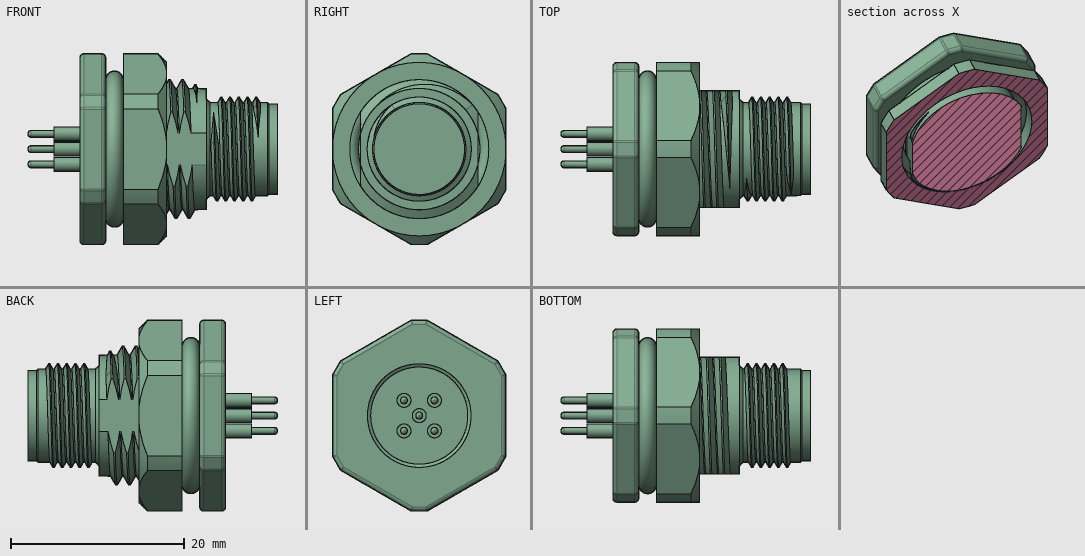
import cadquery as cq
import math


sleeve_start = 3.0
flange_back = 6.0
flange_front = 9.0
nut_back = 11.0
nut_front = 16.0
shoulder = 20.6
nose_step = 27.62
nose_end = 28.8

across_flats = 20.0
across_corners = 22.03
flange_fillet = 0.5
nut_chamfer = 1.0
nut_bore_diameter = 16.05

shank_diameter = 14.0
shank_flats = 13.5
neck_diameter = 10.77
neck_cone_diameter = 11.55
neck_cone_length = 0.43
nose_diameter = 10.45

bore_diameter = 11.2
bore_mouth_diameter = 11.95
bore_mouth_depth = 0.23
insert_back = flange_back + bore_mouth_depth
insert_front = flange_front

sleeve_diameter = 1.6
pin_diameter = 0.8
pin_tip_round = 0.37
pin_offset = 1.75
pin_sides = (-pin_offset, pin_offset)
pin_places = [(0, 0)] + [(y, z) for y in pin_sides for z in pin_sides]

shank_thread_diameter = 16.0
shank_thread_pitch = 1.5
shank_thread_end = 19.5
shank_thread_end_angle = 130
shank_thread_turns = 5.0
shank_thread_fade = 0.25
neck_thread_diameter = 12.0
neck_thread_pitch = 1.0
neck_thread_end = 26.55
neck_thread_end_angle = 165
neck_thread_turns = 5.1
neck_thread_fade = 0.12
flank_slope = math.tan(math.radians(60 / 2))
crest_share = 1 / 8
thread_overlap = 0.05
thread_tip_scale = 0.05
points_per_turn = 24
fewest_steps = 4

seal_cord = nut_back - flange_front
seal_centre_radius = (shank_diameter + seal_cord) / 2


def cylinder(diameter, start, end):
    """A cylinder along X between two positions."""
    return cq.Workplane("YZ").workplane(offset=start).circle(diameter / 2).extrude(end - start)


def hexagon(start, end):
    """A sharp hexagonal prism along X with a flat on each Y side."""
    corner_radius = across_flats / 2 / math.cos(math.radians(30))
    corners = []
    for i in range(6):
        angle = math.radians(30 + 60 * i)
        corners.append((corner_radius * math.cos(angle), corner_radius * math.sin(angle)))
    return cq.Workplane("YZ").workplane(offset=start).polyline(corners).close().extrude(end - start)


def thread_ridge(core, crest, pitch, end, end_angle, turns, fade):
    """A right-hand helical ridge around X that shrinks to a point at both ends."""
    height = (crest - core) / 2
    crest_half = pitch * crest_share / 2
    foot_half = crest_half + (height + thread_overlap) * flank_slope

    def corners(turn):
        """The profile after a number of turns: back foot, back crest, front crest, front foot."""
        scale = max(thread_tip_scale, min(1, turn / fade, (turns - turn) / fade))
        centre = end + (turn - turns) * pitch
        angle = math.radians(end_angle) + 2 * math.pi * (turn - turns)
        foot = core / 2 - thread_overlap
        tip = core / 2 + height * scale
        tip_half = crest_half * scale
        base_half = foot_half * scale
        profile = [(-base_half, foot), (-tip_half, tip), (tip_half, tip), (base_half, foot)]
        return [
            cq.Vector(centre + along, radius * math.cos(angle), radius * math.sin(angle))
            for along, radius in profile
        ]

    faces = []
    stations = [0, fade, turns - fade, turns]
    for first, last in zip(stations, stations[1:]):
        steps = max(fewest_steps, math.ceil((last - first) * points_per_turn))
        profiles = [corners(first + (last - first) * i / steps) for i in range(steps + 1)]
        edges = [cq.Edge.makeSpline(list(track)) for track in zip(*profiles)]
        for i in range(4):
            faces.append(cq.Face.makeRuledSurface(edges[i], edges[(i + 1) % 4]))
    for turn in (0, turns):
        faces.append(cq.Face.makeFromWires(cq.Wire.makePolygon(corners(turn), close=True)))
    return cq.Workplane(cq.Solid.makeSolid(cq.Shell.makeShell(faces)))


def make_flange():
    """The hexagonal flange: corners cut by flats and all edges rounded."""
    flange = hexagon(flange_back, flange_front)
    length = flange_front - flange_back
    centre = (flange_back + flange_front) / 2
    for angle in (0, 60, 120):
        slab = (
            cq.Workplane().box(length, 2 * across_corners, across_corners)
            .translate((centre, 0, 0)).rotate((0, 0, 0), (1, 0, 0), angle)
        )
        flange = flange.intersect(slab)
    return flange.edges().fillet(flange_fillet)


def make_shank():
    """The threaded shank with two flats in front of the seal."""
    ridge = thread_ridge(
        shank_diameter, shank_thread_diameter, shank_thread_pitch, shank_thread_end,
        shank_thread_end_angle, shank_thread_turns, shank_thread_fade,
    )
    threaded = cylinder(shank_diameter, nut_back, shoulder).union(ridge)
    length = shoulder - nut_back
    flats = cq.Workplane().box(length, shank_flats, across_corners).translate((nut_back + length / 2, 0, 0))
    return threaded.intersect(flats).union(cylinder(shank_diameter, flange_front, nut_back))


def make_neck():
    """The thinner threaded neck with a cone at the shoulder and a stepped nose."""
    step = (neck_diameter - nose_diameter) / 2
    outline = [
        (shoulder, 0),
        (shoulder, neck_cone_diameter / 2),
        (shoulder + neck_cone_length, neck_diameter / 2),
        (nose_step, neck_diameter / 2),
        (nose_step + step, nose_diameter / 2),
        (nose_end, nose_diameter / 2),
        (nose_end, 0),
    ]
    neck = cq.Workplane("XY").polyline(outline).close().revolve(360, (0, 0), (1, 0))
    ridge = thread_ridge(
        neck_diameter, neck_thread_diameter, neck_thread_pitch, neck_thread_end,
        neck_thread_end_angle, neck_thread_turns, neck_thread_fade,
    )
    return neck.union(ridge)


def make_housing():
    """Flange, shank and neck in one piece, with a bore in the back that widens at its mouth."""
    bore = cylinder(bore_diameter, flange_back, insert_front)
    mouth = (
        cq.Workplane("YZ").workplane(offset=flange_back).circle(bore_mouth_diameter / 2)
        .workplane(offset=bore_mouth_depth).circle(bore_diameter / 2).loft()
    )
    return make_flange().cut(bore).cut(mouth).union(make_shank()).union(make_neck())


def make_seal():
    """The O-ring between flange and nut."""
    centre = (flange_front + nut_back) / 2
    return (
        cq.Workplane("XY").center(centre, seal_centre_radius).circle(seal_cord / 2)
        .revolve(360, (0, -seal_centre_radius), (1, -seal_centre_radius))
    )


def make_nut():
    """The hexagonal nut: rounded corners, a 45 degree front chamfer and a bore that clears the thread."""
    blank = cylinder(across_corners, nut_back, nut_front).faces(">X").chamfer(nut_chamfer)
    bore = cylinder(nut_bore_diameter, nut_back, nut_front)
    return hexagon(nut_back, nut_front).intersect(blank).cut(bore)


def make_insert():
    """The disc in the rear bore, with a hole for each pin sleeve."""
    insert = cylinder(bore_diameter, insert_back, insert_front)
    for y, z in pin_places:
        insert = insert.cut(cylinder(sleeve_diameter, insert_back, insert_front).translate((0, y, z)))
    return insert


def make_pin():
    """One contact pin: a thin round-ended rod on a thicker sleeve."""
    rod = cylinder(pin_diameter, 0, sleeve_start).faces("<X").edges().fillet(pin_tip_round)
    return rod.union(cylinder(sleeve_diameter, sleeve_start, insert_front))


housing = make_housing()
seal = make_seal()
nut = make_nut()
insert = make_insert()
pins = [make_pin().translate((0, y, z)).val() for y, z in pin_places]

bodies = [housing, seal, nut, insert]
result = cq.Compound.makeCompound([body.solids().val() for body in bodies] + pins)